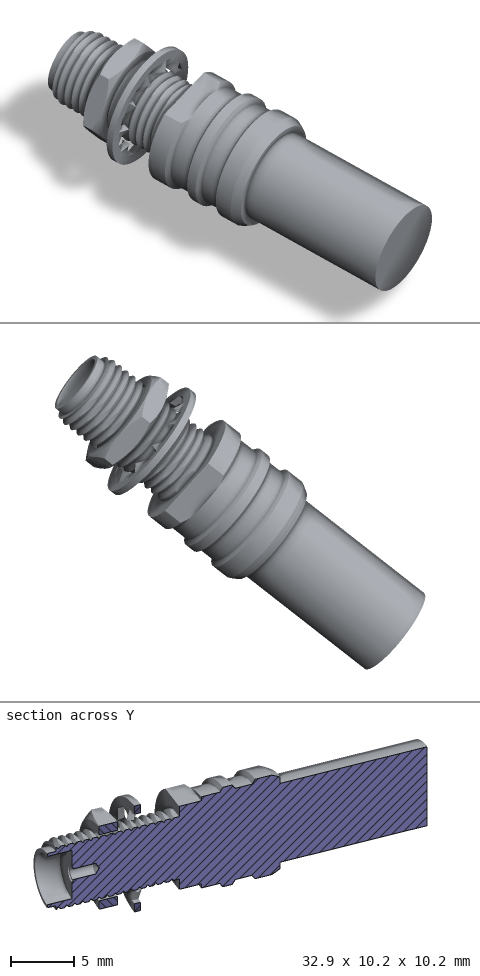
import cadquery as cq
import math

total_length = 32.85

collar_radius = 2.63
bore_radius = 2.3
bore_depth = 2.15
contact_radius = 0.7
contact_setback = 0.1
contact_hole_radius = 0.5
contact_hole_depth = 1.97
drill_point_half_angle = 59.0

thread_start = 0.75
thread_entry_radius = 3.05
thread_crest_radius = 3.22
thread_root_radius = 2.82
first_crest = 1.35
last_crest = 11.13
crest_count = 15
thread_pitch = (last_crest - first_crest) / (crest_count - 1)
shank_flat_height = 3.02

flange_start = 11.4
flange_end = 13.3
flange_radius = 4.8
flange_flat_height = 4.0
flange_bevel_start = 13.0

sleeve_radius = 4.4
bevel_length = 0.25
front_band = (15.17, 16.0)
rear_band = (17.95, 19.4)
sleeve_shoulder_start = 19.8
sleeve_shoulder_radius = 4.6
sleeve_end = 20.13

tube_radius = 3.8

nut_start = 4.45
nut_width = 1.65
nut_across_flats = 8.0
nut_bore_radius = 3.15
nut_face_radius = 3.95
nut_chamfer_angle = 30.0

washer_centre = 7.8
washer_thickness = 0.55
washer_outer_diameter = 10.2
washer_inner_radius = 4.27
tooth_count = 10
tooth_first_angle = 21.0
tooth_width = 1.38
tooth_tip_height = 3.32
tooth_root_embed = 0.15
tooth_twist = -29.0


def revolve_about_x(points):
    """Revolve a closed (x, radius) outline about the X axis."""
    return cq.Workplane("XY").polyline(points).close().revolve(360, (0, 0, 0), (1, 0, 0))


def cylinder(start, end, radius):
    """Cylinder on the X axis from start to end."""
    return cq.Workplane("YZ", origin=(start, 0, 0)).circle(radius).extrude(end - start)


def cut_to_height(solid, start, end, height):
    """Mill two flats, at Z = +height and Z = -height, between start and end."""
    length = end - start
    reach = 2 * flange_radius
    for side in (1, -1):
        cutter = cq.Workplane("XY").box(length, reach, reach)
        solid = solid.cut(cutter.translate((start + length / 2, 0, side * (height + reach / 2))))
    return solid


def make_shank():
    """Threaded shank made as a row of V-shaped rings, with a flat on top and below."""
    outline = [(thread_start, 0), (thread_start, thread_entry_radius)]
    for index in range(crest_count):
        crest = first_crest + index * thread_pitch
        outline.append((crest - thread_pitch / 2, thread_root_radius))
        outline.append((crest, thread_crest_radius))
    outline.append((flange_start, thread_crest_radius))
    outline.append((flange_start, 0))
    return cut_to_height(revolve_about_x(outline), thread_start, flange_start, shank_flat_height)


def make_flange():
    """Round flange with a bevelled rear edge and two flats."""
    flange = revolve_about_x([
        (flange_start, 0),
        (flange_start, flange_radius),
        (flange_bevel_start, flange_radius),
        (flange_end, sleeve_radius),
        (flange_end, 0),
    ])
    return cut_to_height(flange, flange_start, flange_end, flange_flat_height)


def make_sleeve():
    """Sleeve with a narrow front band and a wider, bevelled rear band."""
    return revolve_about_x([
        (flange_end, 0),
        (flange_end, sleeve_radius),
        (front_band[0] - bevel_length, sleeve_radius),
        (front_band[0], flange_radius),
        (front_band[1], flange_radius),
        (front_band[1] + bevel_length, sleeve_radius),
        (rear_band[0] - bevel_length, sleeve_radius),
        (rear_band[0], flange_radius),
        (rear_band[1], flange_radius),
        (sleeve_shoulder_start, sleeve_shoulder_radius),
        (sleeve_end, sleeve_radius),
        (sleeve_end, 0),
    ])


def make_socket_cavity():
    """Front bore, set-back contact face and the contact's drilled hole."""
    contact_face = bore_depth + contact_setback
    point_height = contact_hole_radius / math.tan(math.radians(drill_point_half_angle))
    hole_end = contact_face + contact_hole_depth
    return revolve_about_x([
        (0, 0),
        (0, bore_radius),
        (bore_depth, bore_radius),
        (bore_depth, contact_radius),
        (contact_face, contact_radius),
        (contact_face, contact_hole_radius),
        (hole_end, contact_hole_radius),
        (hole_end + point_height, 0),
    ])


def make_connector():
    """Collar, threaded shank, flange, sleeve and tube in one turned body."""
    body = cylinder(0, thread_start, collar_radius)
    for section in (make_shank(), make_flange(), make_sleeve()):
        body = body.union(section)
    body = body.union(cylinder(sleeve_end, total_length, tube_radius))
    return body.cut(make_socket_cavity())


def make_nut():
    """Hex nut, corners along Y, chamfered on both faces; its bore is grooved to fit the thread crests."""
    corner_radius = nut_across_flats / math.sqrt(3)
    chamfer = (corner_radius - nut_face_radius) * math.tan(math.radians(nut_chamfer_angle))
    nut_end = nut_start + nut_width
    hexagon = (
        cq.Workplane("YZ", origin=(nut_start, 0, 0))
        .polygon(6, 2 * corner_radius)
        .circle(nut_bore_radius)
        .extrude(nut_width)
    )
    envelope = revolve_about_x([
        (nut_start, 0),
        (nut_start, nut_face_radius),
        (nut_start + chamfer, corner_radius),
        (nut_end - chamfer, corner_radius),
        (nut_end, nut_face_radius),
        (nut_end, 0),
    ])
    return hexagon.intersect(envelope).cut(make_shank())


def make_tooth():
    """Washer tooth reaching inward along Z, its tip twisted about its own length."""
    root_height = math.sqrt(washer_inner_radius**2 - (tooth_width / 2) ** 2)
    root = (
        cq.Workplane("XY", origin=(washer_centre, 0, root_height))
        .rect(washer_thickness, tooth_width)
        .extrude(washer_inner_radius + tooth_root_embed - root_height)
    )
    blade = (
        cq.Workplane("XY", origin=(washer_centre, 0, root_height))
        .rect(washer_thickness, tooth_width)
        .workplane(offset=tooth_tip_height - root_height)
        .transformed(rotate=(0, 0, tooth_twist))
        .rect(washer_thickness, tooth_width)
        .loft(ruled=True)
    )
    return root.union(blade)


def make_washer():
    """Flat ring with a circle of twisted teeth inside it."""
    washer = (
        cq.Workplane("YZ", origin=(washer_centre - washer_thickness / 2, 0, 0))
        .circle(washer_outer_diameter / 2)
        .circle(washer_inner_radius)
        .extrude(washer_thickness)
    )
    tooth = make_tooth()
    for index in range(tooth_count):
        angle = tooth_first_angle + index * 360 / tooth_count
        washer = washer.union(tooth.rotate((0, 0, 0), (1, 0, 0), -angle))
    return washer


connector = make_connector()
nut = make_nut()
washer = make_washer()

result = cq.Compound.makeCompound([connector.val(), nut.val(), washer.val()])